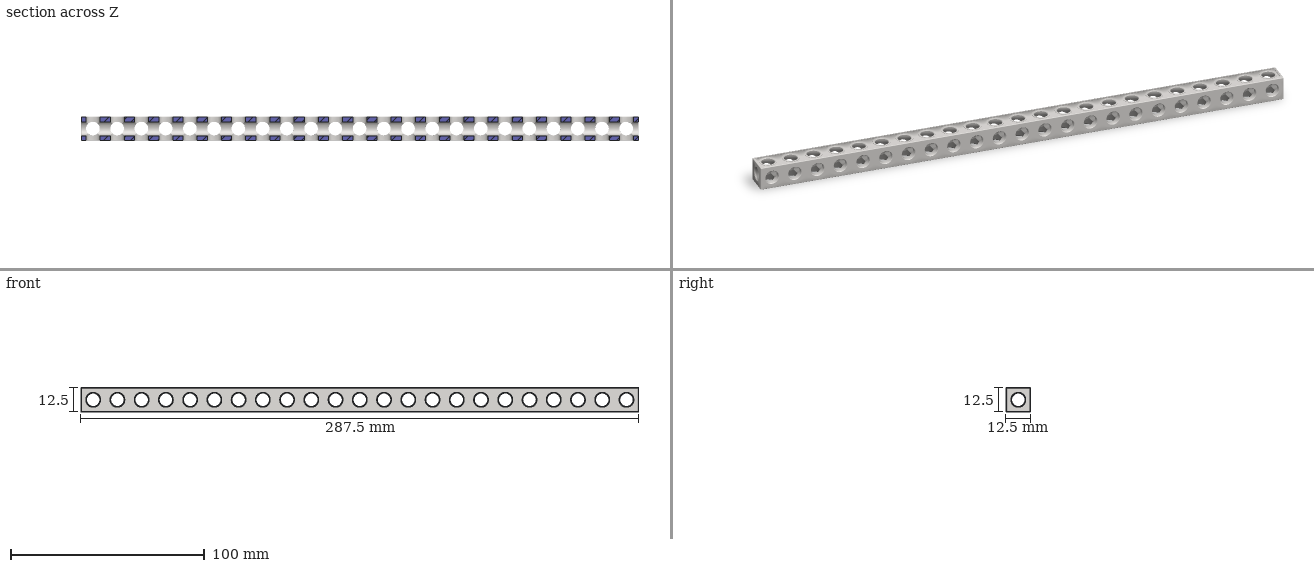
import cadquery as cq
pitch = 12.5
hole_count = 23
hole_diameter = 7.0
rim_chamfer = 0.3
edge_fillet = 0.3
boss_diameter = 9.2
recess_width = 10.2
recess_depth = 0.2

length = hole_count * pitch
half_length = length / 2
half_width = pitch / 2
hole_radius = hole_diameter / 2
recess_wall = (pitch - recess_width) / 2
recess_length = length - 2 * recess_wall
recess_floor = half_width - recess_depth
hole_positions = [(i - (hole_count - 1) / 2) * pitch for i in range(hole_count)]

x_axis = cq.Vector(1, 0, 0)
y_axis = cq.Vector(0, 1, 0)
z_axis = cq.Vector(0, 0, 1)


def make_bar():
    """Square bar with all outer edges rounded."""
    return cq.Workplane("XY").box(length, pitch, pitch).edges().fillet(edge_fillet)


def make_recess():
    """Shallow recess in the top face that leaves a round boss around each hole."""
    floor = cq.Workplane("XY").workplane(offset=recess_floor)
    pocket = floor.rect(recess_length, recess_width).extrude(recess_depth)
    boss_centers = [(x, 0) for x in hole_positions]
    bosses = floor.pushPoints(boss_centers).circle(boss_diameter / 2).extrude(recess_depth)
    return pocket.cut(bosses)


def hole_solids(center, axis, half_span):
    """Through hole along an axis with a chamfered rim at both ends."""
    start = center - axis * half_span
    end = center + axis * half_span
    rim_radius = hole_radius + rim_chamfer
    return [
        cq.Solid.makeCylinder(hole_radius, 2 * half_span, start, axis),
        cq.Solid.makeCone(rim_radius, hole_radius, rim_chamfer, start, axis),
        cq.Solid.makeCone(rim_radius, hole_radius, rim_chamfer, end, axis * -1),
    ]


def cut_holes(body):
    """Crossing holes at every pitch, and one hole along the whole beam."""
    for x in hole_positions:
        center = cq.Vector(x, 0, 0)
        for axis in (y_axis, z_axis):
            for tool in hole_solids(center, axis, half_width):
                body = body.cut(cq.Workplane(tool))
    for tool in hole_solids(cq.Vector(0, 0, 0), x_axis, half_length):
        body = body.cut(cq.Workplane(tool))
    return body


result = cut_holes(make_bar().cut(make_recess()))